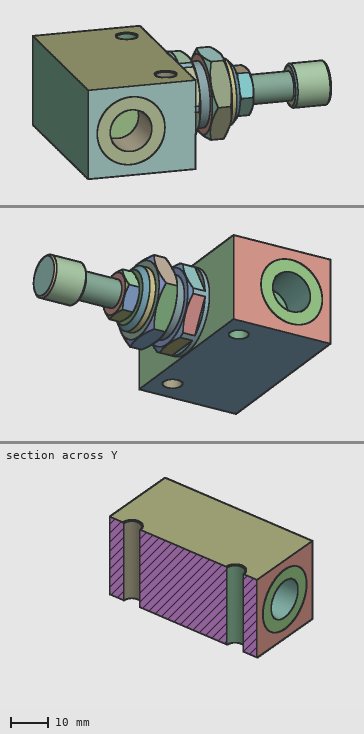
import cadquery as cq
import math


body_width = 50.0
body_length = 30.0
body_thickness = 25.0

port_diameter = 11.6
port_depth = 12.0
port_offset = 12.0
spotface_diameter = 19.0
spotface_depth = 0.105

mount_diameter = 5.4
mount_spacing = 35.05
mount_offset = 6.0
mount_chamfer = 0.3
rim_angle = 90

collar_diameter = 18.0
stem_diameter = 8.0
knob_diameter = 12.0
flange_diameter = 24.5
large_hex_flats = 22.0
small_hex_flats = 12.0

collar_chamfer = 1.4
knob_chamfer = 0.5
hex_chamfer_angle = math.radians(30)
hex_chamfer_inset = 0.15

total_length = 74.1
knob_length = 10.0
knob_start = total_length - knob_length
flange_top = body_length + 1.3
base_hex_top = body_length + 5.85
panel_nut_start = body_length + 9.1
panel_nut_top = panel_nut_start + 5.6
collar_top = body_length + 17.9
lock_nut_top = collar_top + 4.4


def cylinder(diameter, start, end):
    """Cylinder on the spindle axis between two Y stations."""
    plane = cq.Workplane("XZ", origin=(0, start, 0))
    return plane.circle(diameter / 2).extrude(start - end)


def hexagon(flats, start, end):
    """Hexagonal prism on the spindle axis with two flats facing +Z and -Z."""
    corners = flats / math.cos(math.pi / 6)
    plane = cq.Workplane("XZ", origin=(0, start, 0))
    return plane.polygon(6, corners).extrude(start - end)


def chamfered_hexagon(flats, start, end, chamfer_start=True):
    """Hexagon whose corners are cut by a cone at its end, and at its start if asked."""
    corner_radius = flats / 2 / math.cos(math.pi / 6)
    face_radius = flats / 2 - hex_chamfer_inset
    drop = (corner_radius - face_radius) * math.tan(hex_chamfer_angle)
    profile = cq.Workplane("XY").moveTo(0, start)
    if chamfer_start:
        profile = profile.lineTo(face_radius, start).lineTo(corner_radius, start + drop)
    else:
        profile = profile.lineTo(corner_radius, start)
    profile = profile.lineTo(corner_radius, end - drop).lineTo(face_radius, end).lineTo(0, end)
    envelope = profile.close().revolve(360, (0, 0, 0), (0, 1, 0))
    return hexagon(flats, start, end).intersect(envelope)


def make_body():
    """Block with two blind ports and two through mounting holes chamfered at the top face."""
    body = cq.Workplane("XY").box(body_width, body_length, body_thickness, centered=(True, False, True))
    for side in (-1, 1):
        face = cq.Workplane("YZ", origin=(side * body_width / 2, port_offset, 0))
        body = body.cut(face.circle(spotface_diameter / 2).extrude(-side * spotface_depth))
        body = body.cut(face.circle(port_diameter / 2).extrude(-side * port_depth))
    hole_y = body_length - mount_offset
    hole_centres = [(-mount_spacing / 2, hole_y), (mount_spacing / 2, hole_y)]
    rim_diameter = mount_diameter + 2 * mount_chamfer
    top_face = body.faces(">Z").workplane(origin=(0, 0, 0))
    return top_face.pushPoints(hole_centres).cskHole(mount_diameter, rim_diameter, rim_angle)


def make_base_hex():
    """Round flange carrying a hexagon whose corners are turned to the flange diameter."""
    flange = cylinder(flange_diameter, body_length, flange_top)
    turned = cylinder(flange_diameter, flange_top, base_hex_top)
    flats = chamfered_hexagon(large_hex_flats, flange_top, base_hex_top, chamfer_start=False)
    return flange.union(flats.intersect(turned))


def make_spindle():
    """Collar with its panel nut, then the lock nut, the stem and the knob."""
    collar = cylinder(collar_diameter, flange_top, collar_top).faces(">Y").chamfer(collar_chamfer)
    panel_nut = chamfered_hexagon(large_hex_flats, panel_nut_start, panel_nut_top)
    lock_nut = chamfered_hexagon(small_hex_flats, collar_top, lock_nut_top)
    stem = cylinder(stem_diameter, collar_top, knob_start)
    knob = cylinder(knob_diameter, knob_start, total_length).faces("<Y or >Y").chamfer(knob_chamfer)
    return collar.union(panel_nut).union(lock_nut).union(stem).union(knob)


result = make_body().union(make_base_hex()).union(make_spindle())